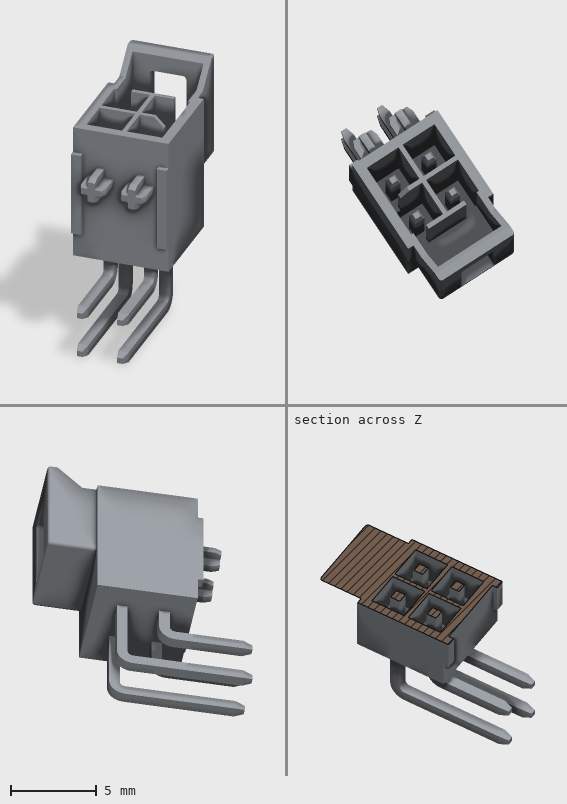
import cadquery as cq


overlap = 0.15

body_size = 5.94
body_height = 8.46
body_half = body_size / 2
cavity_size = 4.72
cavity_half = cavity_size / 2
pitch = 2.5
contact_offset = pitch / 2

divider_thickness = 0.28
pocket_width = (cavity_size - divider_thickness) / 2
pocket_depth = 2.18
pocket_floor = 1.47
gap_chamfer = 0.62
divider_gap_start = 1.03
rib_width = 2.64

shroud_width = 5.2
shroud_reach = 2.87
shroud_drop = 5.01
shroud_rise = 1.45
shroud_lip = 0.57
shroud_corner_radius = 0.19
shroud_floor_thickness = 0.4
shroud_end_wall = 0.85
shroud_channel_width = 4.41
shroud_floor = body_height - shroud_drop + shroud_floor_thickness
shroud_back = body_half + shroud_reach
window_width = 2.29
window_rise = 0.12
window_corner_radius = 0.25

strip_width = 0.6
strip_thickness = 0.34
strip_end_margin = 1.61
peg_diameter = 1.61
peg_length = 1.6
peg_height = 5.26
peg_arm_x = 0.45
peg_arm_z = 0.4
peg_root_radius = 0.07
peg_chamfer_radial = 0.16
peg_chamfer_length = 0.4

pin_size = 0.65
pin_tip_size = 0.35
pin_taper = 0.57
pin_bend_radius = 0.32
pin_reach = 3.53
pin_top_recess = 2.2
front_pin_drop = 1.92


def box(x_range, y_range, z_range):
    """Axis-aligned block between the given limits."""
    size = [high - low for low, high in (x_range, y_range, z_range)]
    corner = (x_range[0], y_range[0], z_range[0])
    return cq.Workplane("XY").box(*size, centered=False).translate(corner)


def make_shroud():
    """Solid latch shroud with a raised, sloped lip."""
    profile = [
        (body_half - overlap, body_height - shroud_drop),
        (shroud_back, body_height - shroud_drop),
        (shroud_back, body_height + shroud_rise),
        (shroud_back - shroud_lip, body_height + shroud_rise),
        (shroud_back - shroud_lip - shroud_rise, body_height),
        (body_half - overlap, body_height),
    ]
    shroud = cq.Workplane("YZ").polyline(profile).close().extrude(shroud_width / 2, both=True)
    shroud = shroud.edges("|Z and >Y").fillet(shroud_corner_radius)
    return shroud.faces("<Z").edges("|Y").fillet(shroud_corner_radius)


def cut_socket(housing):
    """Open the upper cavity, the latch channel, its end window and the four contact pockets."""
    top = body_height + shroud_rise
    cavity_range = (-cavity_half, cavity_half)
    housing = housing.cut(box(cavity_range, cavity_range, (shroud_floor, top)))

    channel_half = shroud_channel_width / 2
    channel_end = shroud_back - shroud_end_wall
    housing = housing.cut(box((-channel_half, channel_half), (0, channel_end), (shroud_floor, top)))

    window_half = window_width / 2
    window = box(
        (-window_half, window_half),
        (channel_end - overlap, shroud_back + overlap),
        (shroud_floor, body_height + window_rise),
    )
    housing = housing.cut(window.faces(">Z").edges("|Y").fillet(window_corner_radius))

    row_step = (cavity_size + divider_thickness) / 2
    for x in (-cavity_half, cavity_half - pocket_width):
        for y in (-cavity_half, -cavity_half + row_step):
            pocket = box((x, x + pocket_width), (y, y + pocket_depth), (pocket_floor, shroud_floor + overlap))
            housing = housing.cut(pocket)
    return housing


def make_dividers():
    """Cross divider flush with the housing top, with a gap at +X and a rib closing the rear pockets."""
    half = divider_thickness / 2
    base = shroud_floor - overlap
    z_range = (base, body_height)
    rib_front = cavity_half
    column_divider = box((-half, half), (-cavity_half - overlap, rib_front + half), z_range)
    rib = box((-rib_width / 2, rib_width / 2), (rib_front, rib_front + divider_thickness), z_range)

    gap_end = divider_gap_start + gap_chamfer
    row_profile = [
        (-cavity_half - overlap, base),
        (gap_end, base),
        (gap_end, body_height - gap_chamfer),
        (divider_gap_start, body_height),
        (-cavity_half - overlap, body_height),
    ]
    row_divider = cq.Workplane("XZ").polyline(row_profile).close().extrude(half, both=True)
    return column_divider.union(rib).union(row_divider)


def make_strip(side):
    """Standoff strip along one vertical edge of the -Y face; side is -1 or +1."""
    x_range = sorted((side * body_half, side * (body_half - strip_width)))
    return box(
        x_range,
        (-body_half - strip_thickness, -body_half + overlap),
        (strip_end_margin, body_height - strip_end_margin),
    )


def make_peg(x):
    """Cross-shaped peg with rounded arm ends, filleted roots and a conical lead-in."""
    depth = peg_length + overlap
    plane = cq.Workplane("XZ", origin=(x, overlap - body_half, peg_height))
    cross = plane.rect(peg_diameter, peg_arm_z).extrude(depth)
    cross = cross.union(plane.rect(peg_arm_x, peg_diameter).extrude(depth))
    root = cq.selectors.BoxSelector(
        (x - peg_arm_x, -body_half - depth, peg_height - peg_arm_z),
        (x + peg_arm_x, 0, peg_height + peg_arm_z),
    )
    cross = cross.edges("|Y").edges(root).fillet(peg_root_radius)
    envelope = plane.circle(peg_diameter / 2).extrude(depth)
    envelope = envelope.faces("<Y").chamfer(peg_chamfer_length, peg_chamfer_radial)
    return cross.intersect(envelope)


def make_tip(plane):
    """Tapered square pin end starting at the given workplane."""
    full = plane.rect(pin_size, pin_size)
    return full.workplane(offset=pin_taper).rect(pin_tip_size, pin_tip_size).loft(combine=True)


def make_pin(x, y, drop):
    """L-shaped square pin; drop is the depth of the horizontal leg below the housing."""
    half = pin_size / 2
    taper_start_z = body_height - pin_top_recess - pin_taper
    taper_start_y = -body_half - pin_reach + pin_taper
    outer_radius = pin_bend_radius + pin_size
    outline = [
        (y - half, taper_start_z),
        (y + half, taper_start_z),
        (y + half, -drop - half),
        (taper_start_y, -drop - half),
        (taper_start_y, -drop + half),
        (y - half, -drop + half),
    ]
    pin = cq.Workplane("YZ", origin=(x, 0, 0)).polyline(outline).close().extrude(half, both=True)
    pin = pin.edges(cq.selectors.NearestToPointSelector((x, y - half, half - drop))).fillet(pin_bend_radius)
    pin = pin.edges(cq.selectors.NearestToPointSelector((x, y + half, -drop - half))).fillet(outer_radius)
    upper_tip = make_tip(cq.Workplane("XY", origin=(x, y, taper_start_z)))
    lower_tip = make_tip(cq.Workplane("XZ", origin=(x, taper_start_y, -drop)))
    return pin.union(upper_tip).union(lower_tip)


body_range = (-body_half, body_half)
result = box(body_range, body_range, (0, body_height)).union(make_shroud())
result = cut_socket(result).union(make_dividers())
for side in (-1, 1):
    column_x = side * contact_offset
    result = result.union(make_strip(side)).union(make_peg(column_x))
    result = result.union(make_pin(column_x, -contact_offset, front_pin_drop))
    result = result.union(make_pin(column_x, contact_offset, front_pin_drop + pitch))